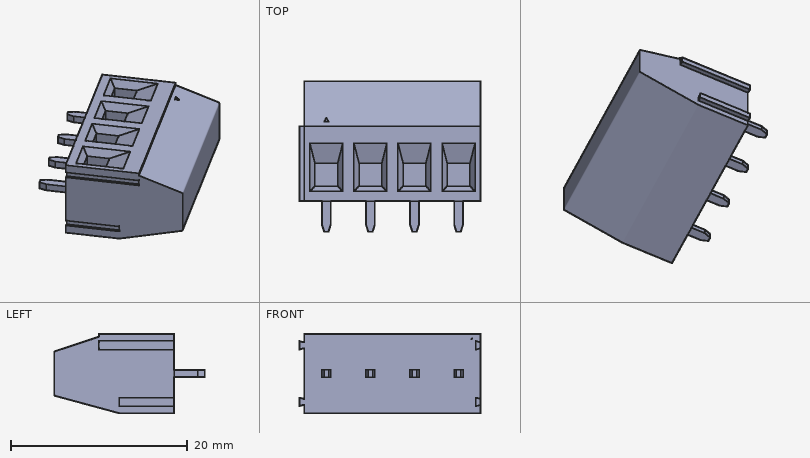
import cadquery as cq

pole_count = 4
pitch = 5.0
end_margin = 2.5
body_length = (pole_count - 1) * pitch + 2 * end_margin
body_depth = 13.6
body_height = 9.0

top_step_y = 8.52
top_step_drop = 0.3
bottom_slope_y = 6.23
rear_inset = 2.0
rear_radius = 0.2

overall_length = 20.57
rail_height = overall_length - body_length
rail_base_width = 0.65
rail_tip_width = 0.99
rail_inset = 1.3

entry_front_y = 1.1
entry_width = 3.75
entry_length = 5.5
shaft_size = 2.57
shaft_front_y = 1.7
taper_depth = 0.86
entry_depth = body_height / 2

pin_length = 3.5
pin_width = 1.03
pin_thickness = 0.82
pin_tip_length = 0.82
pin_tip_width = 0.5

mark_base_y = 9.0
mark_width = 0.5
mark_length = 0.43
mark_depth = 0.06

pole_positions = [end_margin + index * pitch for index in range(pole_count)]


def make_body():
    """Housing: side profile extruded along X, with its two rear edges rounded."""
    profile = [
        (0, 0),
        (bottom_slope_y, 0),
        (body_depth, rear_inset),
        (body_depth, body_height - rear_inset),
        (top_step_y, body_height - top_step_drop),
        (top_step_y, body_height),
        (0, body_height),
    ]
    body = cq.Workplane("YZ").polyline(profile).close().extrude(body_length)
    return body.faces(">Y").edges("|X").fillet(rear_radius)


def make_rail(base_x, center_z, length):
    """Dovetail bar that widens toward -X, running back from the front face."""
    tip_x = base_x - rail_height
    profile = [
        (base_x, center_z - rail_base_width / 2),
        (tip_x, center_z - rail_tip_width / 2),
        (tip_x, center_z + rail_tip_width / 2),
        (base_x, center_z + rail_base_width / 2),
    ]
    return cq.Workplane("XZ").polyline(profile).close().extrude(-length)


def make_entry(center_x):
    """Square shaft with a funnel mouth that leans toward the rear."""
    mouth_y = entry_front_y + entry_length / 2
    shaft_y = shaft_front_y + shaft_size / 2
    funnel = (
        cq.Workplane("XY", origin=(center_x, mouth_y, body_height))
        .rect(entry_width, entry_length)
        .workplane(offset=-taper_depth)
        .center(0, shaft_y - mouth_y)
        .rect(shaft_size, shaft_size)
        .loft(ruled=True)
    )
    shaft = (
        cq.Workplane("XY", origin=(center_x, shaft_y, body_height - entry_depth))
        .rect(shaft_size, shaft_size)
        .extrude(entry_depth - taper_depth)
    )
    return funnel.union(shaft)


def make_pin(center_x):
    """Flat pin pointing toward -Y, narrowed at its tip."""
    shoulder_y = pin_tip_length - pin_length
    outline = [
        (-pin_width / 2, 0),
        (-pin_width / 2, shoulder_y),
        (-pin_tip_width / 2, -pin_length),
        (pin_tip_width / 2, -pin_length),
        (pin_width / 2, shoulder_y),
        (pin_width / 2, 0),
    ]
    pin_bottom_z = (body_height - pin_thickness) / 2
    return (
        cq.Workplane("XY", origin=(center_x, 0, pin_bottom_z))
        .polyline(outline)
        .close()
        .extrude(pin_thickness)
    )


def make_mark(center_x):
    """Upright triangular prism whose flat floor lies just under the sloped rear top."""
    slope = (rear_inset - top_step_drop) / (body_depth - top_step_y)
    point_y = mark_base_y + mark_length
    point_z = body_height - top_step_drop - slope * (point_y - top_step_y)
    floor_z = point_z - mark_depth
    outline = [
        (-mark_width / 2, 0),
        (mark_width / 2, 0),
        (0, mark_length),
    ]
    return (
        cq.Workplane("XY", origin=(center_x, mark_base_y, floor_z))
        .polyline(outline)
        .close()
        .extrude(body_height - floor_z)
    )


result = make_body()

for rail_z, rail_length in [
    (rail_inset, bottom_slope_y),
    (body_height - rail_inset, top_step_y),
]:
    result = result.union(make_rail(0, rail_z, rail_length))
    result = result.cut(make_rail(body_length, rail_z, rail_length))

for pole_x in pole_positions:
    result = result.cut(make_entry(pole_x))
    result = result.union(make_pin(pole_x))

result = result.cut(make_mark(pole_positions[0]))